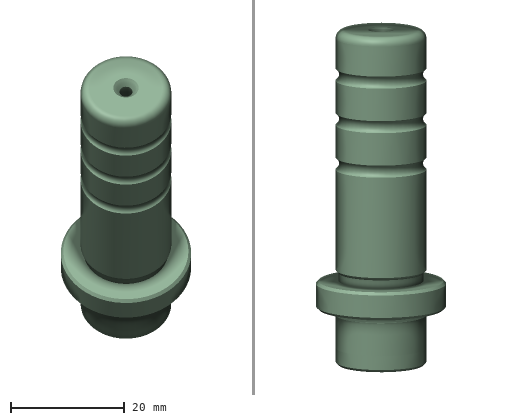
import cadquery as cq
import math

length = 60.0
body_radius = 16.0 / 2
neck_radius = 7.5
edge_chamfer = 0.5
top_round = 1.5

pilot_height = 3.0
pilot_radius = 15.95 / 2
seat_top = 8.9
seat_chamfer_height = 0.35

flange_radius = 23.0 / 2
flange_bottom = 10.0
flange_height = 5.0
shank_bottom = 17.0

groove_count = 3
groove_pitch = 8.0
groove_half_width = 1.1
groove_depth = 0.6

countersink_radius = 2.2
countersink_angle = 90.0
drill_radius = 1.15
drill_depth = 3.0
drill_tip_angle = 118.0


def cone_height(radius_change, included_angle):
    """Axial length of a cone whose radius changes by radius_change."""
    return radius_change / math.tan(math.radians(included_angle / 2))


def revolve_profile(profile):
    return profile.close().revolve(360, (0, 0, 0), (0, 1, 0))


def make_pin():
    flange_top = flange_bottom + flange_height
    shank_chamfer = body_radius - neck_radius
    round_offset = top_round * math.sqrt(0.5)
    round_center_radius = body_radius - top_round
    round_center_z = length - top_round
    profile = (
        cq.Workplane("XZ")
        .lineTo(pilot_radius - edge_chamfer, 0)
        .lineTo(pilot_radius, edge_chamfer)
        .lineTo(pilot_radius, pilot_height)
        .lineTo(body_radius, pilot_height)
        .lineTo(body_radius, seat_top)
        .lineTo(neck_radius, seat_top + seat_chamfer_height)
        .lineTo(neck_radius, flange_bottom)
        .lineTo(flange_radius - edge_chamfer, flange_bottom)
        .lineTo(flange_radius, flange_bottom + edge_chamfer)
        .lineTo(flange_radius, flange_top - edge_chamfer)
        .lineTo(flange_radius - edge_chamfer, flange_top)
        .lineTo(neck_radius, flange_top)
        .lineTo(neck_radius, shank_bottom - shank_chamfer)
        .lineTo(body_radius, shank_bottom)
        .lineTo(body_radius, round_center_z)
        .threePointArc(
            (round_center_radius + round_offset, round_center_z + round_offset),
            (round_center_radius, length),
        )
        .lineTo(0, length)
    )
    return revolve_profile(profile)


def make_groove_cutter(center_z):
    """Ring bounded inside by the groove arc and outside by a clear cylinder."""
    lower_z = center_z - groove_half_width
    upper_z = center_z + groove_half_width
    clear_radius = body_radius + groove_depth
    profile = (
        cq.Workplane("XZ")
        .moveTo(clear_radius, lower_z)
        .lineTo(body_radius, lower_z)
        .threePointArc((body_radius - groove_depth, center_z), (body_radius, upper_z))
        .lineTo(clear_radius, upper_z)
    )
    return revolve_profile(profile)


def make_center_hole_cutter():
    bore_top = length - cone_height(countersink_radius - drill_radius, countersink_angle)
    bore_bottom = bore_top - drill_depth
    tip_z = bore_bottom - cone_height(drill_radius, drill_tip_angle)
    profile = (
        cq.Workplane("XZ")
        .moveTo(0, length)
        .lineTo(countersink_radius, length)
        .lineTo(drill_radius, bore_top)
        .lineTo(drill_radius, bore_bottom)
        .lineTo(0, tip_z)
    )
    return revolve_profile(profile)


result = make_pin()
for index in range(groove_count):
    groove_z = length - (index + 1) * groove_pitch
    result = result.cut(make_groove_cutter(groove_z))
result = result.cut(make_center_hole_cutter())